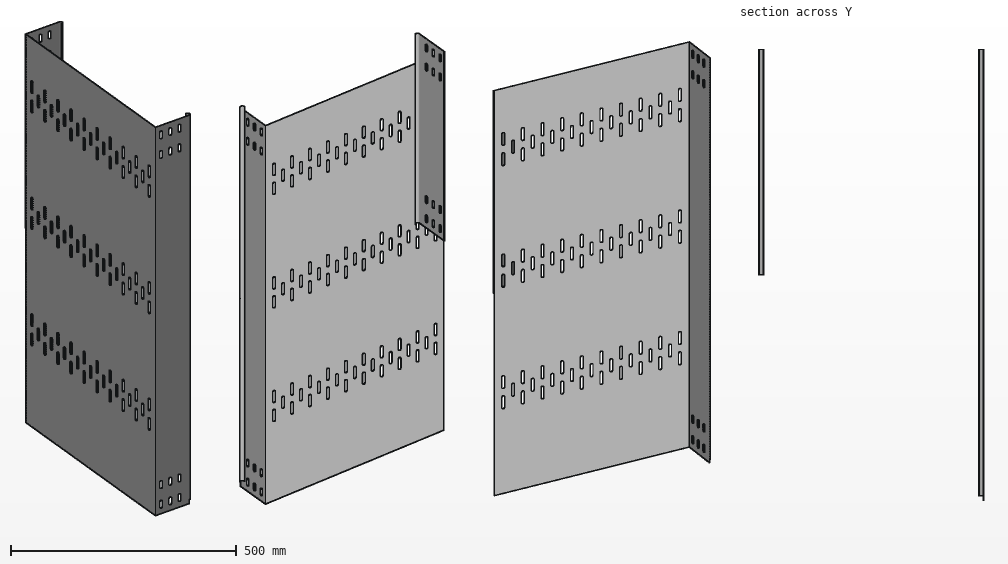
import cadquery as cq

WIDTH = 500.0
DEPTH = 98.0
HEIGHT = 1000.0
THICKNESS = 2.0
LEFT_WALL_BOTTOM = HEIGHT / 2

LIP_RADIUS = 6.0
LIP_RETURN = 2.0
RIGHT_LIP_BOTTOM = 10.0

FLOOR_SLOT_LENGTH = 32.0
SLOT_WIDTH = 7.2
UPRIGHT = 90.0
COLUMN_PITCH = 50.0
ROW_PITCH = 25.0
OUTER_ROW_COUNT = 10
GROUP_CENTERS_Z = (250.0, 550.0, 850.0)

WALL_SLOT_LENGTH = 20.0
WALL_SLOTS_Y = (16.0, 41.0, 66.0)
WALL_ROWS_FROM_END = (24.5, 75.0)

HALF_WIDTH = WIDTH / 2
ROLL_CENTER_Y = DEPTH - LIP_RADIUS


def box(x_min, x_max, y_min, y_max, z_min, z_max):
    size = (x_max - x_min, y_max - y_min, z_max - z_min)
    return cq.Workplane("XY").box(*size, centered=False).translate((x_min, y_min, z_min))


def floor_plate():
    """Floor between the walls, along the full height."""
    inner = HALF_WIDTH - THICKNESS
    return box(-inner, inner, 0, THICKNESS, 0, HEIGHT)


def right_wall(z_bottom, lip_bottom):
    """Wall on the +X side with its lip rolled inwards."""
    inner_radius = LIP_RADIUS - THICKNESS
    x_outer = HALF_WIDTH
    x_inner = x_outer - THICKNESS
    x_roll = x_outer - LIP_RADIUS
    x_tip = x_outer - 2 * LIP_RADIUS
    tip_y = ROLL_CENTER_Y - LIP_RETURN
    wall = box(x_inner, x_outer, 0, ROLL_CENTER_Y, z_bottom, HEIGHT)
    lip = (
        cq.Workplane("XY", origin=(0, 0, lip_bottom))
        .moveTo(x_outer, ROLL_CENTER_Y)
        .threePointArc((x_roll, DEPTH), (x_tip, ROLL_CENTER_Y))
        .lineTo(x_tip, tip_y)
        .lineTo(x_tip + THICKNESS, tip_y)
        .lineTo(x_tip + THICKNESS, ROLL_CENTER_Y)
        .threePointArc((x_roll, ROLL_CENTER_Y + inner_radius), (x_inner, ROLL_CENTER_Y))
        .close()
        .extrude(HEIGHT - lip_bottom)
    )
    return wall.union(lip)


def floor_slots():
    """Cutters for the staggered slot groups in the floor."""
    points = []
    for group_z in GROUP_CENTERS_Z:
        for row, count in ((-1, OUTER_ROW_COUNT), (0, OUTER_ROW_COUNT - 1), (1, OUTER_ROW_COUNT)):
            for column in range(count):
                x = (column - (count - 1) / 2) * COLUMN_PITCH
                points.append((x, group_z + row * ROW_PITCH))
    return (
        cq.Workplane("XZ")
        .pushPoints(points)
        .slot2D(FLOOR_SLOT_LENGTH, SLOT_WIDTH, UPRIGHT)
        .extrude(-THICKNESS)
    )


def wall_slots(x_min, z_bottom):
    """Cutters for the slots near both ends of one wall."""
    points = []
    for offset in WALL_ROWS_FROM_END:
        for y in WALL_SLOTS_Y:
            points.append((y, z_bottom + offset))
            points.append((y, HEIGHT - offset))
    return (
        cq.Workplane("YZ", origin=(x_min, 0, 0))
        .pushPoints(points)
        .slot2D(WALL_SLOT_LENGTH, SLOT_WIDTH, UPRIGHT)
        .extrude(THICKNESS)
    )


left_wall = right_wall(LEFT_WALL_BOTTOM, LEFT_WALL_BOTTOM).mirror("YZ")
result = (
    floor_plate()
    .union(right_wall(0, RIGHT_LIP_BOTTOM))
    .union(left_wall)
    .cut(floor_slots())
    .cut(wall_slots(HALF_WIDTH - THICKNESS, 0))
    .cut(wall_slots(-HALF_WIDTH, LEFT_WALL_BOTTOM))
    .clean()
)